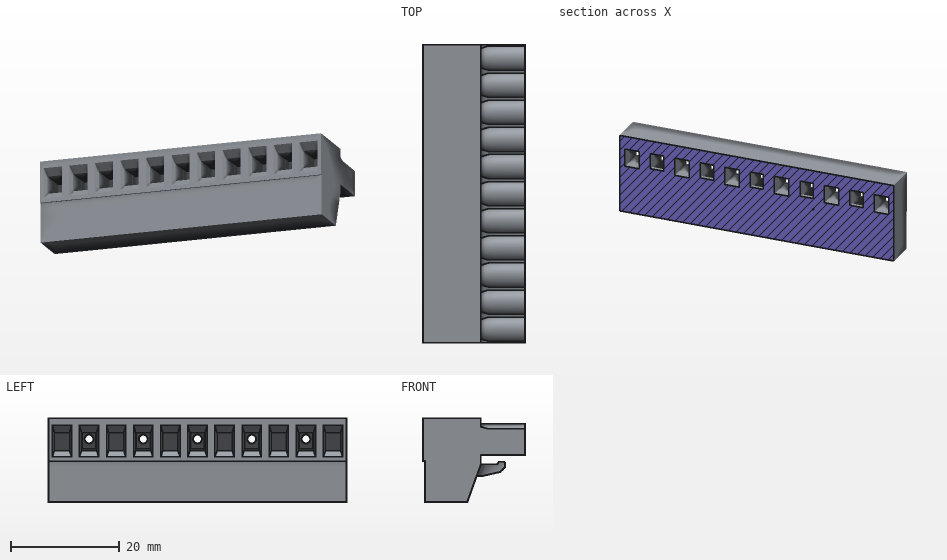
import cadquery as cq
import math

POLES = 11
PITCH = 5.0
LENGTH = POLES * PITCH

TOTAL_DEPTH = 18.85
HEIGHT = 15.5
HOUSING_DEPTH = 10.7
STEP_DEPTH = 0.35
STEP_Z = HEIGHT - 7.95
FOOT_DEPTH = 8.2
SLANT_Z = HEIGHT - 8.5

TONGUE_BOTTOM_Z = HEIGHT - 6.82
CROWN_Z = HEIGHT - 1.0
CROWN_RADIUS = 3.0
CROWN_RISE = 0.99
CROWN_WIDTH = 2 * math.sqrt(CROWN_RADIUS**2 - (CROWN_RADIUS - CROWN_RISE) ** 2)
VALLEY_Z = CROWN_Z - CROWN_RISE
RAMP_LENGTH = 1.4
RAMP_RISE = 0.4

LATCH_INSET = 1.25 * PITCH
LATCH_TIP_X = 15.15
LATCH_ROOT_X = 9.0
LATCH_TOP_Z = SLANT_Z
LATCH_LIP_Z = SLANT_Z + 0.5
LATCH_LIP_FRONT_X = LATCH_TIP_X - 1.05
LATCH_LIP_RUN = 0.45
LATCH_TIP_CHAMFER = 0.25
LATCH_TIP_BOTTOM_Z = LATCH_LIP_Z - 1.05
LATCH_NOSE_LENGTH = 0.9
LATCH_HEEL_X = LATCH_TIP_X - 4.2
LATCH_BOTTOM_Z = HEIGHT - 10.7

ENTRY_WIDTH = 3.56
ENTRY_TOP_Z = HEIGHT - 1.35
ENTRY_BOTTOM_Z = HEIGHT - 7.15
THROAT_WIDTH = 2.8
THROAT_TOP_Z = HEIGHT - 2.68
THROAT_BOTTOM_Z = HEIGHT - 5.97
FUNNEL_DEPTH = 1.2
CAVITY_END_X = 7.0
THROAT_END_X = 1.6
PLAIN_CAVITY_DROP = 0.12
DRILLED_CAVITY_DROP = 2.3
LEDGE_X = 5.5
NARROW_WIDTH = 2.55
NARROW_BOTTOM_Z = HEIGHT - 5.65
PIN_HOLE_DIAMETER = 1.6
PIN_HOLE_Z = HEIGHT - 3.86


def pole_y(index):
    return (index - (POLES - 1) / 2) * PITCH


def extrude_along_y(points, length):
    return cq.Workplane("XZ").polyline(points).close().extrude(length / 2, both=True)


def block(x_start, x_end, y_center, width, z_bottom, z_top):
    corner = (x_start, y_center, z_bottom)
    size = (x_end - x_start, width, z_top - z_bottom)
    return cq.Workplane("XY", origin=corner).box(*size, centered=(False, True, False))


def make_housing():
    return extrude_along_y(
        [
            (0, HEIGHT),
            (HOUSING_DEPTH, HEIGHT),
            (HOUSING_DEPTH, SLANT_Z),
            (FOOT_DEPTH, 0),
            (STEP_DEPTH, 0),
            (STEP_DEPTH, STEP_Z),
            (0, STEP_Z),
        ],
        LENGTH,
    )


def make_tongue():
    tongue = extrude_along_y(
        [
            (HOUSING_DEPTH, TONGUE_BOTTOM_Z),
            (TOTAL_DEPTH, TONGUE_BOTTOM_Z),
            (TOTAL_DEPTH, VALLEY_Z),
            (HOUSING_DEPTH + RAMP_LENGTH, VALLEY_Z),
            (HOUSING_DEPTH, VALLEY_Z + RAMP_RISE),
        ],
        LENGTH,
    )
    for index in range(POLES):
        tongue = tongue.union(make_crown(pole_y(index)))
    return tongue


def make_crown(y):
    return (
        cq.Workplane("YZ", origin=(HOUSING_DEPTH, 0, 0))
        .moveTo(y - CROWN_WIDTH / 2, VALLEY_Z)
        .threePointArc((y, CROWN_Z), (y + CROWN_WIDTH / 2, VALLEY_Z))
        .close()
        .extrude(TOTAL_DEPTH - HOUSING_DEPTH)
    )


def make_latch():
    return extrude_along_y(
        [
            (LATCH_ROOT_X, LATCH_TOP_Z),
            (LATCH_LIP_FRONT_X - LATCH_LIP_RUN, LATCH_TOP_Z),
            (LATCH_LIP_FRONT_X, LATCH_LIP_Z),
            (LATCH_TIP_X - LATCH_TIP_CHAMFER, LATCH_LIP_Z),
            (LATCH_TIP_X, LATCH_LIP_Z - LATCH_TIP_CHAMFER),
            (LATCH_TIP_X, LATCH_TIP_BOTTOM_Z),
            (LATCH_TIP_X - LATCH_NOSE_LENGTH, LATCH_TIP_BOTTOM_Z - LATCH_NOSE_LENGTH),
            (LATCH_HEEL_X, LATCH_BOTTOM_Z),
            (LATCH_ROOT_X, LATCH_BOTTOM_Z),
        ],
        LENGTH - 2 * LATCH_INSET,
    )


def make_funnel(y):
    mouth_z = (ENTRY_TOP_Z + ENTRY_BOTTOM_Z) / 2
    throat_z = (THROAT_TOP_Z + THROAT_BOTTOM_Z) / 2
    return (
        cq.Workplane("YZ", origin=(0, y, mouth_z))
        .rect(ENTRY_WIDTH, ENTRY_TOP_Z - ENTRY_BOTTOM_Z)
        .workplane(offset=FUNNEL_DEPTH)
        .center(0, throat_z - mouth_z)
        .rect(THROAT_WIDTH, THROAT_TOP_Z - THROAT_BOTTOM_Z)
        .loft(ruled=True)
    )


def make_entry(y, cavity_drop, cavity_end_x):
    throat = block(FUNNEL_DEPTH, THROAT_END_X, y, THROAT_WIDTH, THROAT_BOTTOM_Z, THROAT_TOP_Z)
    cavity_bottom_z = THROAT_BOTTOM_Z - cavity_drop
    cavity = block(THROAT_END_X, cavity_end_x, y, THROAT_WIDTH, cavity_bottom_z, THROAT_TOP_Z)
    return make_funnel(y).union(throat).union(cavity)


def make_plain_entry(y):
    return make_entry(y, PLAIN_CAVITY_DROP, CAVITY_END_X)


def make_drilled_entry(y):
    narrow = block(LEDGE_X, CAVITY_END_X, y, NARROW_WIDTH, NARROW_BOTTOM_Z, THROAT_TOP_Z)
    pin_hole = (
        cq.Workplane("YZ", origin=(0, y, PIN_HOLE_Z))
        .circle(PIN_HOLE_DIAMETER / 2)
        .extrude(TOTAL_DEPTH)
    )
    return make_entry(y, DRILLED_CAVITY_DROP, LEDGE_X).union(narrow).union(pin_hole)


result = make_housing().union(make_tongue()).union(make_latch())
for index in range(POLES):
    is_drilled = index % 2 == 1
    make_pole_entry = make_drilled_entry if is_drilled else make_plain_entry
    result = result.cut(make_pole_entry(pole_y(index)))